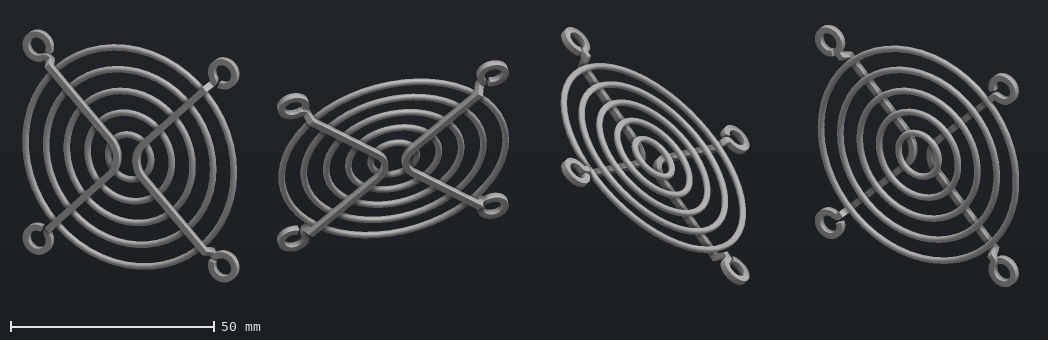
import cadquery as cq
import math


guard_size = 58.0
guard_depth = 4.0
ring_count = 5
inner_ring_radius = 5.8
corner_radius = 6.2
crank_start = 30.15
crank_run = 1.15
eye_hole_radius = 2.3
neck_radius = 1.0
eye_gap_angle = 25.0

wire = guard_depth / 2.5
half_wire = wire / 2
ring_center_y = wire + half_wire
eye_front_y = ring_center_y

outer_ring_radius = guard_size / 2 - half_wire
ring_pitch = (outer_ring_radius - inner_ring_radius) / (ring_count - 1)

eye_outer_radius = eye_hole_radius + wire
eye_wire_radius = eye_hole_radius + half_wire
eye_distance = (guard_size / 2 - eye_outer_radius) * math.sqrt(2)

neck_angle = math.degrees(math.asin(neck_radius / (eye_wire_radius + neck_radius)))
neck_distance = eye_distance - (eye_wire_radius + neck_radius) * math.cos(math.radians(neck_angle))

crank_length = math.hypot(crank_run, eye_front_y)
crank_rear_shift = wire * (crank_length - crank_run) / eye_front_y


def polar(center, radius, angle):
    """Point at an angle in degrees on a circle around center."""
    turn = math.radians(angle)
    return (center[0] + radius * math.cos(turn), center[1] + radius * math.sin(turn))


def turn_about_axis(body, angle):
    """Turn a body about the guard axis, counterclockwise seen from the front."""
    return body.rotate((0, 0, 0), (0, 1, 0), -angle)


def make_ring(radius):
    return cq.Workplane("XY").center(radius, ring_center_y).circle(half_wire).revolve(
        360, (-radius, 0), (-radius, 1)
    )


def make_arm():
    """Straight arm along +X that cranks back to the level of the eye."""
    side_profile = [
        (corner_radius, 0),
        (crank_start, 0),
        (crank_start + crank_run, eye_front_y),
        (neck_distance, eye_front_y),
        (neck_distance, guard_depth),
        (crank_start + crank_run - crank_rear_shift, guard_depth),
        (crank_start - crank_rear_shift, wire),
        (corner_radius, wire),
    ]
    return cq.Workplane("XY").polyline(side_profile).close().extrude(half_wire, both=True)


def make_eye():
    """Neck bend and open eye at the end of an arm along +X."""
    neck_center = (neck_distance, neck_radius)
    eye_center = (eye_distance, 0)
    neck_outside = neck_radius + half_wire
    neck_inside = neck_radius - half_wire
    neck_mid_angle = -(90 + neck_angle) / 2
    neck_end_angle = -neck_angle
    eye_start_angle = 180 - neck_angle
    eye_end_angle = eye_gap_angle - 180
    eye_mid_angle = (eye_start_angle + eye_end_angle) / 2
    return (
        cq.Workplane("XZ", origin=(0, eye_front_y, 0))
        .moveTo(neck_distance, -half_wire)
        .threePointArc(
            polar(neck_center, neck_outside, neck_mid_angle),
            polar(neck_center, neck_outside, neck_end_angle),
        )
        .threePointArc(
            polar(eye_center, eye_hole_radius, eye_mid_angle),
            polar(eye_center, eye_hole_radius, eye_end_angle),
        )
        .lineTo(*polar(eye_center, eye_outer_radius, eye_end_angle))
        .threePointArc(
            polar(eye_center, eye_outer_radius, eye_mid_angle),
            polar(eye_center, eye_outer_radius, eye_start_angle),
        )
        .threePointArc(
            polar(neck_center, neck_inside, neck_mid_angle),
            polar(neck_center, neck_inside, -90),
        )
        .close()
        .extrude(-wire)
    )


def make_corner():
    """Quarter bend joining two diagonal arms on the +X side of the hub."""
    center = (corner_radius * math.sqrt(2), 0)
    outside = corner_radius + half_wire
    inside = corner_radius - half_wire
    return (
        cq.Workplane("XZ")
        .moveTo(*polar(center, inside, 135))
        .threePointArc(polar(center, inside, 180), polar(center, inside, 225))
        .lineTo(*polar(center, outside, 225))
        .threePointArc(polar(center, outside, 180), polar(center, outside, 135))
        .close()
        .extrude(-wire)
    )


def make_leg():
    """One bent wire: corner, two arms and two eyes, opening toward +X."""
    arm = make_arm().union(make_eye())
    leg = make_corner()
    for angle in (-45, 45):
        leg = leg.union(turn_about_axis(arm, angle))
    return leg


rings = [make_ring(inner_ring_radius + i * ring_pitch) for i in range(ring_count)]
legs = [turn_about_axis(make_leg(), angle) for angle in (0, 180)]

bodies = [solid for body in rings + legs for solid in body.solids().vals()]
result = cq.Compound.makeCompound(bodies)